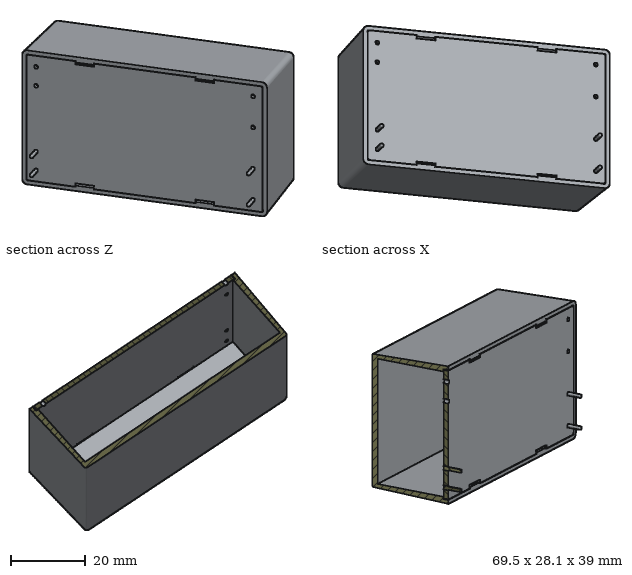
import cadquery as cq
import math

case_length = 69.5
case_height = 39.0
case_depth = 24.0
case_draft_angle = 1.5
case_corner_radius = 1.45
case_back_edge_radius = 0.55

rim_width = 1.2
lid_ledge_width = 0.7
back_wall = 1.9
lid_thickness = 1.5
lid_gap = 0.105
lid_corner_radius = 0.5

tab_length = 5.15
tab_spacing = 34.1
tab_height = 0.9
tab_bevel = 0.5

pin_diameter = 1.05
pin_projection = 4.1
pin_end_radius = 0.4
pin_x = 30.8
outer_pin_z = 15.0
inner_pin_z_left = 9.5
inner_pin_z_right = 6.0

seat_length = case_length - 2 * rim_width
seat_height = case_height - 2 * rim_width
lid_length = seat_length - 2 * lid_gap
lid_height = seat_height - 2 * lid_gap
notch_length = tab_length + 2 * lid_gap
tab_centres_x = (-tab_spacing / 2, tab_spacing / 2)
pin_places = [
    (-pin_x, -outer_pin_z),
    (-pin_x, -inner_pin_z_left),
    (pin_x, -outer_pin_z),
    (pin_x, -inner_pin_z_right),
]
spare_hole_places = [(x, -z) for x, z in pin_places]


def block(length, height, y_front, y_back):
    """Block centred on the Y axis, between two Y positions."""
    middle = (y_front + y_back) / 2
    return cq.Workplane("XY").box(length, y_back - y_front, height).translate((0, middle, 0))


def make_tab():
    """Tab hanging from the upper long wall, bevelled at its front edge."""
    wall_z = seat_height / 2
    tip_z = wall_z - tab_height
    profile = [
        (0, wall_z),
        (0, tip_z + tab_bevel),
        (tab_bevel, tip_z),
        (lid_thickness, tip_z),
        (lid_thickness, wall_z),
    ]
    return cq.Workplane("YZ").polyline(profile).close().extrude(tab_length / 2, both=True)


def make_case():
    """Drafted hollow case with a stepped seat for the lid and four tabs on its long walls."""
    back_inset = case_depth * math.tan(math.radians(case_draft_angle))
    shell = (
        cq.Workplane("XZ")
        .rect(case_length, case_height)
        .workplane(offset=-case_depth)
        .rect(case_length - 2 * back_inset, case_height - 2 * back_inset)
        .loft(ruled=True)
    )
    shell = shell.edges("not(|X or |Z)").fillet(case_corner_radius)
    shell = shell.faces(">Y").edges().fillet(case_back_edge_radius)

    seat = block(seat_length, seat_height, 0, lid_thickness)
    seat = seat.edges("|Y").fillet(lid_corner_radius)
    cavity = block(
        seat_length - 2 * lid_ledge_width,
        seat_height - 2 * lid_ledge_width,
        lid_thickness,
        case_depth - back_wall,
    )
    shell = shell.cut(seat).cut(cavity)

    upper_tab = make_tab()
    lower_tab = upper_tab.mirror("XY")
    for x in tab_centres_x:
        shell = shell.union(upper_tab.translate((x, 0, 0)))
        shell = shell.union(lower_tab.translate((x, 0, 0)))
    return shell


def make_lid():
    """Flat lid flush with the case rim, with tab notches, pin holes and empty holes."""
    lid = block(lid_length, lid_height, 0, lid_thickness)
    lid = lid.edges("|Y").fillet(lid_corner_radius)
    notch = block(notch_length, 2 * tab_height, 0, lid_thickness)
    for x in tab_centres_x:
        for side in (-1, 1):
            lid = lid.cut(notch.translate((x, 0, side * lid_height / 2)))
    holes = (
        cq.Workplane("XZ")
        .pushPoints(pin_places + spare_hole_places)
        .circle(pin_diameter / 2)
        .extrude(-lid_thickness)
    )
    return lid.cut(holes)


def make_pin(x, z):
    """Pin flush with the inner face of the lid, with a rounded free end."""
    pin = (
        cq.Workplane("XZ", origin=(x, lid_thickness, z))
        .circle(pin_diameter / 2)
        .extrude(lid_thickness + pin_projection)
    )
    return pin.faces("<Y").edges().fillet(pin_end_radius)


case = make_case()
lid = make_lid()
pins = [make_pin(x, z) for x, z in pin_places]

result = cq.Compound.makeCompound([case.val(), lid.val(), *[pin.val() for pin in pins]])